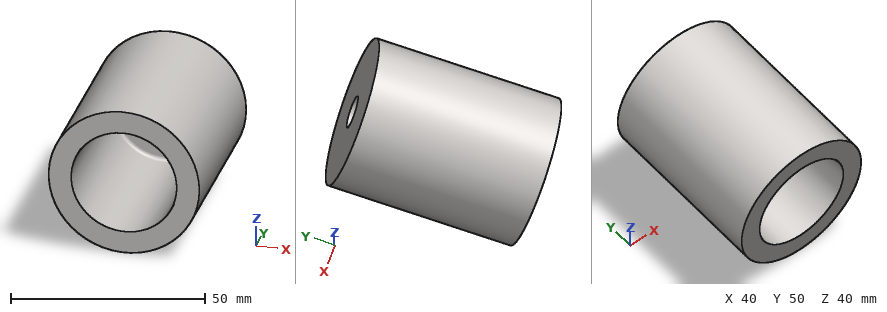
import cadquery as cq

length = 50.0
outer_diameter = 40.0
bore_diameter = 28.0
floor_diameter = 26.0
hole_diameter = 8.5

wall_thickness = (outer_diameter - bore_diameter) / 2
floor_thickness = wall_thickness
corner_radius = (bore_diameter - floor_diameter) / 2
bore_depth = length - floor_thickness


def cylinder_along_y(diameter, depth):
    """Cylinder on the Y axis, from the open end at y = 0 towards +Y."""
    return cq.Workplane("XZ").circle(diameter / 2).extrude(-depth)


body = cylinder_along_y(outer_diameter, length)

bore = cylinder_along_y(bore_diameter, bore_depth).faces(">Y").edges().fillet(corner_radius)

screw_hole = cylinder_along_y(hole_diameter, length)

result = body.cut(bore).cut(screw_hole)